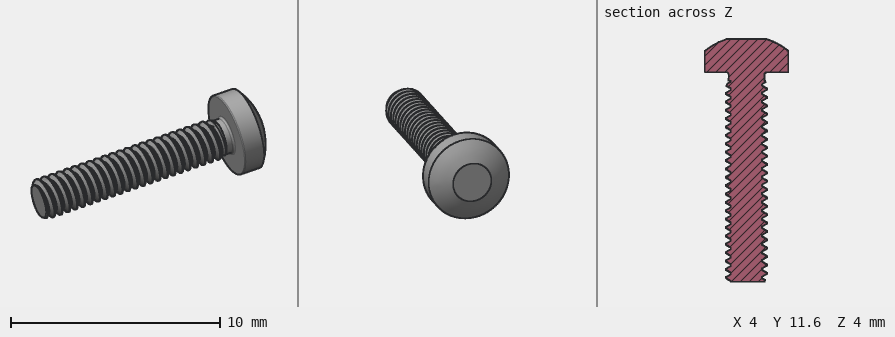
import cadquery as cq
import math

total_length = 11.6
head_diameter = 4.0
head_height = 1.6
dome_height = 0.57
top_flat_diameter = 1.9
rim_fillet = 0.05
neck_diameter = 1.73
neck_length = 0.41
neck_fillet = 0.1
thread_diameter = 2.0
root_diameter = 1.51
pitches_under_head = 25
flank_half_angle = 30.0
tip_diameter = 1.73
tip_taper_angle = 30.0
runout_diameter = 1.79
runout_taper_angle = 15.5
cut_clearance = 0.02
cutter_margin = 0.12

head_radius = head_diameter / 2
top_flat_radius = top_flat_diameter / 2
neck_radius = neck_diameter / 2
thread_radius = thread_diameter / 2
root_radius = root_diameter / 2

underside_height = total_length - head_height
pitch = underside_height / pitches_under_head
crest_width = pitch / 8
rim_height = total_length - dome_height
thread_length = underside_height - neck_length
rod_overrun = 3 * pitch


def dome_midpoint():
    """Point halfway along the dome arc, whose sphere is centred on the screw axis."""
    centre_depth = (head_radius**2 - top_flat_radius**2 + dome_height**2) / (2 * dome_height)
    sphere_radius = math.hypot(top_flat_radius, centre_depth)
    top_angle = math.asin(top_flat_radius / sphere_radius)
    rim_angle = math.asin(head_radius / sphere_radius)
    mid_angle = (top_angle + rim_angle) / 2
    centre_height = total_length - centre_depth
    return (
        sphere_radius * math.sin(mid_angle),
        centre_height + sphere_radius * math.cos(mid_angle),
    )


def make_head_and_neck():
    """Domed head with a rounded lower rim, and the plain neck filleted into it."""
    corner = math.sqrt(0.5)
    neck_arc_mid = (
        neck_radius + neck_fillet * (1 - corner),
        underside_height - neck_fillet * (1 - corner),
    )
    rim_arc_mid = (
        head_radius - rim_fillet * (1 - corner),
        underside_height + rim_fillet * (1 - corner),
    )
    return (
        cq.Workplane("XZ")
        .moveTo(0, thread_length)
        .lineTo(neck_radius, thread_length)
        .lineTo(neck_radius, underside_height - neck_fillet)
        .threePointArc(neck_arc_mid, (neck_radius + neck_fillet, underside_height))
        .lineTo(head_radius - rim_fillet, underside_height)
        .threePointArc(rim_arc_mid, (head_radius, underside_height + rim_fillet))
        .lineTo(head_radius, rim_height)
        .threePointArc(dome_midpoint(), (top_flat_radius, total_length))
        .lineTo(0, total_length)
        .close()
        .revolve(360, (0, 0, 0), (0, 1, 0))
    )


def make_threaded_rod():
    """Rod overrunning the thread at each end, with a right-hand V groove.

    The groove overruns by at least one pitch. A crest meets the tip plane at +X.
    """
    groove_overrun = pitch
    rod = (
        cq.Workplane("XY", origin=(0, 0, -rod_overrun))
        .circle(thread_radius)
        .extrude(thread_length + 2 * rod_overrun)
    )

    flank_slope = math.tan(math.radians(flank_half_angle))
    root_half_width = (pitch - crest_width) / 2 - (thread_radius - root_radius) * flank_slope
    outer_radius = thread_radius + cut_clearance
    outer_half_width = root_half_width + (outer_radius - root_radius) * flank_slope
    start_height = -groove_overrun - pitch / 2
    helix_length = thread_length + 2 * groove_overrun + pitch
    helix = cq.Wire.makeHelix(pitch, helix_length, root_radius, cq.Vector(0, 0, start_height))
    groove = (
        cq.Workplane("XZ")
        .moveTo(root_radius, start_height - root_half_width)
        .lineTo(outer_radius, start_height - outer_half_width)
        .lineTo(outer_radius, start_height + outer_half_width)
        .lineTo(root_radius, start_height + root_half_width)
        .close()
        .sweep(cq.Workplane(helix), isFrenet=True)
    )
    return rod.cut(groove)


def make_end_cutter(end_diameter, taper_angle):
    """Removes everything below Z = 0 and tapers the crests down to the end diameter there."""
    end_radius = end_diameter / 2
    outer_radius = thread_radius + cutter_margin
    taper_top = (outer_radius - end_radius) / math.tan(math.radians(taper_angle))
    bottom = -rod_overrun - cutter_margin
    return (
        cq.Workplane("XZ")
        .moveTo(0, bottom)
        .lineTo(0, 0)
        .lineTo(end_radius, 0)
        .lineTo(outer_radius, taper_top)
        .lineTo(outer_radius, bottom)
        .close()
        .revolve(360, (0, 0, 0), (0, 1, 0))
    )


tip_cutter = make_end_cutter(tip_diameter, tip_taper_angle)
runout_cutter = make_end_cutter(runout_diameter, runout_taper_angle)
runout_cutter = runout_cutter.mirror("XY").translate((0, 0, thread_length))
threaded_shank = make_threaded_rod().cut(tip_cutter).cut(runout_cutter)
screw = make_head_and_neck().union(threaded_shank)

result = screw.rotate((0, 0, 0), (1, 0, 0), -90)